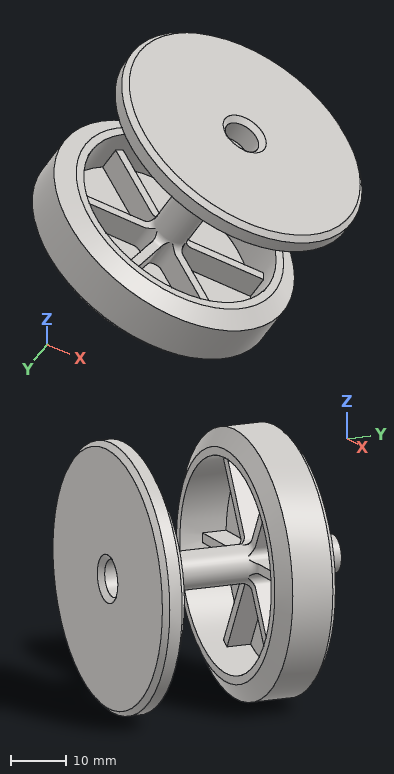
import cadquery as cq
import math

TOTAL_LENGTH = 45.0
RIM_RADIUS = 25.25
EDGE_CHAMFER = 1.0
BEVEL_LENGTH = 2.0
BEVEL_RADIAL = 3.5

CAP_THICKNESS = 5.5
COLLAR_RADIUS = 5.075
COLLAR_HEIGHT = 1.1

WHEEL_FRONT = 23.5
WHEEL_THICKNESS = 11.0
WHEEL_BACK = WHEEL_FRONT + WHEEL_THICKNESS
POCKET_RADIUS = 20.175
WEB_THICKNESS = 1.8
POCKET_FLOOR = WHEEL_BACK - WEB_THICKNESS

SHAFT_RADIUS = 3.6
SHOULDER = 0.95
BORE_RADIUS = 1.995
COUNTERBORE_RADIUS = 3.51
COUNTERBORE_DEPTH = 5.0
COUNTERBORE_CHAMFER = 1.0

SPOKE_COUNT = 6
SPOKE_WIDTH = 1.8
SPOKE_HEIGHT = 4.7
SPOKE_FRONT = POCKET_FLOOR - SPOKE_HEIGHT
SPOKE_FILLET = 1.5
SPOKE_REACH = (POCKET_RADIUS + RIM_RADIUS - BEVEL_RADIAL) / 2
FLARE_RADIUS = SHAFT_RADIUS + SPOKE_FILLET
FLARE_FRONT = SPOKE_FRONT - SPOKE_FILLET


def revolve_profile(points):
    """Turn a (radius, y) outline about the Y axis."""
    return cq.Workplane("XY").polyline(points).close().revolve(360, (0, 0, 0), (0, 1, 0))


def cylinder(radius, start, end):
    """Cylinder along Y between two stations."""
    return cq.Workplane("XZ", origin=(0, start, 0)).circle(radius).extrude(start - end)


def make_cap():
    """Closed disc with a low collar facing the wheel."""
    return revolve_profile([
        (0, 0),
        (RIM_RADIUS - EDGE_CHAMFER, 0),
        (RIM_RADIUS, EDGE_CHAMFER),
        (RIM_RADIUS, CAP_THICKNESS - BEVEL_LENGTH),
        (RIM_RADIUS - BEVEL_RADIAL, CAP_THICKNESS),
        (COLLAR_RADIUS, CAP_THICKNESS),
        (COLLAR_RADIUS, CAP_THICKNESS + COLLAR_HEIGHT),
        (0, CAP_THICKNESS + COLLAR_HEIGHT),
    ])


def make_wheel():
    """Bevelled rim around a spoked pocket, with a conical shoulder at the back."""
    rim = revolve_profile([
        (0, POCKET_FLOOR),
        (POCKET_RADIUS, POCKET_FLOOR),
        (POCKET_RADIUS, WHEEL_FRONT),
        (RIM_RADIUS - BEVEL_RADIAL, WHEEL_FRONT),
        (RIM_RADIUS, WHEEL_FRONT + BEVEL_LENGTH),
        (RIM_RADIUS, WHEEL_BACK - EDGE_CHAMFER),
        (RIM_RADIUS - EDGE_CHAMFER, WHEEL_BACK),
        (SHAFT_RADIUS + SHOULDER, WHEEL_BACK),
        (SHAFT_RADIUS, WHEEL_BACK + SHOULDER),
        (0, WHEEL_BACK + SHOULDER),
    ])
    return rim.union(make_spokes())


def make_spokes():
    """Spokes standing on the pocket floor and flaring smoothly into the shaft."""
    spokes = cylinder(SHAFT_RADIUS, FLARE_FRONT, POCKET_FLOOR)
    for index in range(SPOKE_COUNT):
        spoke = (
            cq.Workplane("XY")
            .box(SPOKE_REACH, POCKET_FLOOR - FLARE_FRONT, SPOKE_WIDTH, centered=(False, False, True))
            .translate((0, FLARE_FRONT, 0))
            .rotate((0, 0, 0), (0, 1, 0), index * 360 / SPOKE_COUNT)
        )
        spokes = spokes.union(spoke)

    corner_zone = cq.selectors.BoxSelector(
        (-FLARE_RADIUS, FLARE_FRONT, -FLARE_RADIUS),
        (FLARE_RADIUS, POCKET_FLOOR, FLARE_RADIUS),
    )
    spokes = spokes.edges("|Y").edges(corner_zone).fillet(SPOKE_FILLET)

    bend = SPOKE_FILLET * (1 - math.sqrt(0.5))
    envelope = (
        cq.Workplane("XY")
        .moveTo(0, FLARE_FRONT)
        .lineTo(SHAFT_RADIUS, FLARE_FRONT)
        .threePointArc((SHAFT_RADIUS + bend, SPOKE_FRONT - bend), (FLARE_RADIUS, SPOKE_FRONT))
        .lineTo(RIM_RADIUS, SPOKE_FRONT)
        .lineTo(RIM_RADIUS, WHEEL_BACK)
        .lineTo(0, WHEEL_BACK)
        .close()
        .revolve(360, (0, 0, 0), (0, 1, 0))
    )
    return spokes.intersect(envelope)


def make_bore():
    """Through bore with a chamfered counterbore at the cap end."""
    return revolve_profile([
        (0, 0),
        (COUNTERBORE_RADIUS + COUNTERBORE_CHAMFER, 0),
        (COUNTERBORE_RADIUS, COUNTERBORE_CHAMFER),
        (COUNTERBORE_RADIUS, COUNTERBORE_DEPTH),
        (BORE_RADIUS, COUNTERBORE_DEPTH),
        (BORE_RADIUS, TOTAL_LENGTH),
        (0, TOTAL_LENGTH),
    ])


shaft = cylinder(SHAFT_RADIUS, 0, TOTAL_LENGTH)
result = make_cap().union(make_wheel()).union(shaft).cut(make_bore())